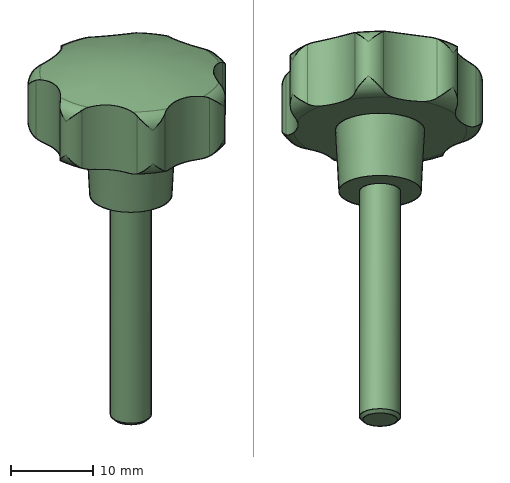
import math

import cadquery as cq

lobe_count = 7
head_radius = 12.5
head_height = 10.0
lobe_radius = 2.0
valley_radius = 6.0
rim_round = 2.0
round_drop = 3.5

hub_height = 8.0
hub_bottom_radius = 5.0
hub_draft_angle = 3.0
hub_top_radius = hub_bottom_radius + hub_height * math.tan(math.radians(hub_draft_angle))

stud_radius = 2.5
stud_length = 30.0
stud_chamfer = 0.4

lobe_center_radius = head_radius - lobe_radius
lobe_pitch = 360.0 / lobe_count
first_lobe_angle = -90.0

round_center_radius = head_radius - rim_round
round_center_height = head_height - round_drop
dome_radius = (round_center_radius**2 + round_drop**2 - rim_round**2) / (2 * (round_drop - rim_round))
dome_center_height = head_height - dome_radius

half_pitch = math.radians(lobe_pitch / 2)
valley_center_radius = lobe_center_radius * math.cos(half_pitch) + math.sqrt(
    (lobe_radius + valley_radius) ** 2 - (lobe_center_radius * math.sin(half_pitch)) ** 2
)


def polar(radius, angle_degrees):
    angle = math.radians(angle_degrees)
    return (radius * math.cos(angle), radius * math.sin(angle))


def tangent_point(lobe_angle, valley_angle):
    """Point where a lobe arc meets the neighbouring valley arc."""
    lobe_x, lobe_y = polar(lobe_center_radius, lobe_angle)
    valley_x, valley_y = polar(valley_center_radius, valley_angle)
    share = lobe_radius / (lobe_radius + valley_radius)
    return (lobe_x + share * (valley_x - lobe_x), lobe_y + share * (valley_y - lobe_y))


def make_lobed_prism():
    """Straight prism with the lobed outline of the head."""
    start_valley_angle = first_lobe_angle - lobe_pitch / 2
    outline = cq.Workplane("XY").moveTo(*tangent_point(first_lobe_angle, start_valley_angle))
    for index in range(lobe_count):
        lobe_angle = first_lobe_angle + index * lobe_pitch
        valley_angle = lobe_angle + lobe_pitch / 2
        next_lobe_angle = lobe_angle + lobe_pitch
        outline = outline.threePointArc(
            polar(head_radius, lobe_angle), tangent_point(lobe_angle, valley_angle)
        )
        outline = outline.threePointArc(
            polar(valley_center_radius - valley_radius, valley_angle),
            tangent_point(next_lobe_angle, valley_angle),
        )
    return outline.close().extrude(head_height)


def make_domed_disc():
    """Turned envelope of the head: flat underside, rounded rim and domed top."""
    dome_edge_angle = math.atan2(round_center_height - dome_center_height, round_center_radius)
    dome_edge = (
        dome_radius * math.cos(dome_edge_angle),
        dome_center_height + dome_radius * math.sin(dome_edge_angle),
    )
    dome_middle_angle = (dome_edge_angle + math.pi / 2) / 2
    dome_middle = (
        dome_radius * math.cos(dome_middle_angle),
        dome_center_height + dome_radius * math.sin(dome_middle_angle),
    )
    profile = (
        cq.Workplane("XZ")
        .lineTo(round_center_radius, 0)
        .tangentArcPoint((head_radius, rim_round), relative=False)
        .lineTo(head_radius, round_center_height)
        .tangentArcPoint(dome_edge, relative=False)
        .threePointArc(dome_middle, (0, head_height))
        .close()
    )
    return profile.revolve(360, (0, 0, 0), (0, 1, 0))


def make_hub():
    """Conical hub narrowing away from the head."""
    profile = cq.Workplane("XZ").polyline(
        [(0, 0), (hub_top_radius, 0), (hub_bottom_radius, -hub_height), (0, -hub_height)]
    )
    return profile.close().revolve(360, (0, 0, 0), (0, 1, 0))


def make_stud():
    """Plain round stud with a chamfered tip."""
    stud = cq.Workplane("XY").workplane(offset=-hub_height).circle(stud_radius).extrude(-stud_length)
    return stud.faces("<Z").chamfer(stud_chamfer)


head = make_lobed_prism().intersect(make_domed_disc())
result = head.union(make_hub()).union(make_stud())